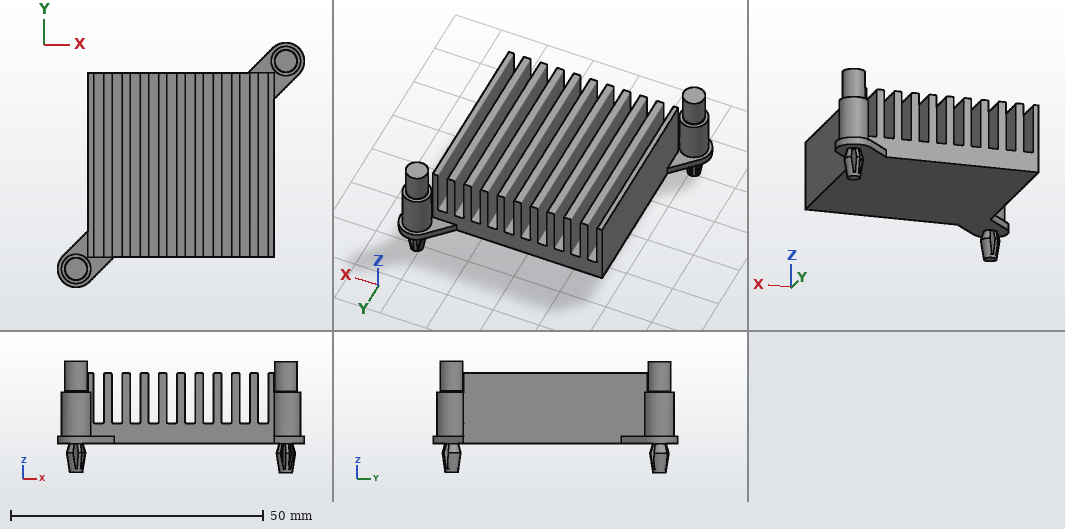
import cadquery as cq
import math

SINK_X = 36.9
SINK_Y = 36.5
SINK_HEIGHT = 14.0
BASE_HEIGHT = 4.0

CHANNEL_COUNT = 10
CHANNEL_PITCH = 3.6
CHANNEL_WIDTH = 2.0
FIN_TIP_RADIUS = 0.35
FLOOR_RADIUS = 0.3
ARC_MIDDLE = math.sqrt(0.5)

EAR_RADIUS = 3.65
EAR_THICKNESS = 1.45
EAR_ARM_LENGTH = 3 * EAR_RADIUS
EAR_OVERHANG = 6.0
PIN_X = SINK_X / 2 + EAR_OVERHANG - EAR_RADIUS
PIN_Y = SINK_Y / 2 + EAR_OVERHANG - EAR_RADIUS

SLEEVE_DIAMETER = 5.8
SLEEVE_TOP = 10.2

SPRING_OUTER_DIAMETER = 4.35

HEAD_DIAMETER = 4.5
HEAD_TOP = 16.25
HEAD_BOTTOM = 10.3
SHANK_DIAMETER = 2.7
PIN_RISE = 0.1
BARB_TOP = -PIN_RISE
BARB_DIAMETER = 3.75
BARB_RIDGE = -1.95
TIP_DIAMETER = 2.55
TIP_BOTTOM = -5.8

WEB_THICKNESS = 0.75
SLOT_TOP_REACH = 0.9
SLOT_RIDGE_REACH = 1.3
SLOT_BOTTOM = -5.1
SLOT_BOTTOM_REACH = 0.7

PINS = [(-1, PIN_RISE, 25), (1, 0, 11)]


def make_heatsink():
    block = cq.Workplane("XY").box(SINK_X, SINK_Y, SINK_HEIGHT, centered=(True, True, False))
    for index in range(CHANNEL_COUNT):
        block = block.cut(make_channel((index - (CHANNEL_COUNT - 1) / 2) * CHANNEL_PITCH))
    for sign in (-1, 1):
        block = block.union(make_ear(sign))
        hole = cq.Workplane("XY").center(sign * PIN_X, sign * PIN_Y).circle(SHANK_DIAMETER / 2)
        block = block.cut(hole.extrude(EAR_THICKNESS))
    return block


def make_channel(x):
    """Channel with a rounded floor, flared at the top to round the fin tips."""
    half = CHANNEL_WIDTH / 2
    mouth = half + FIN_TIP_RADIUS
    tip_z = SINK_HEIGHT - FIN_TIP_RADIUS
    floor_z = BASE_HEIGHT + FLOOR_RADIUS
    floor_half = half - FLOOR_RADIUS
    tip_bulge = FIN_TIP_RADIUS * (1 - ARC_MIDDLE)
    floor_bulge = FLOOR_RADIUS * (1 - ARC_MIDDLE)
    profile = (
        cq.Workplane("XZ", origin=(x, SINK_Y / 2, 0))
        .moveTo(-mouth, SINK_HEIGHT)
        .threePointArc((-half - tip_bulge, SINK_HEIGHT - tip_bulge), (-half, tip_z))
        .lineTo(-half, floor_z)
        .threePointArc((-half + floor_bulge, BASE_HEIGHT + floor_bulge), (-floor_half, BASE_HEIGHT))
        .lineTo(floor_half, BASE_HEIGHT)
        .threePointArc((half - floor_bulge, BASE_HEIGHT + floor_bulge), (half, floor_z))
        .lineTo(half, tip_z)
        .threePointArc((half + tip_bulge, SINK_HEIGHT - tip_bulge), (mouth, SINK_HEIGHT))
        .close()
    )
    return profile.extrude(SINK_Y)


def make_ear(sign):
    """Round-ended arm from the pin axis diagonally into the block."""
    arm = (
        cq.Workplane("XY")
        .rect(EAR_ARM_LENGTH, 2 * EAR_RADIUS)
        .extrude(EAR_THICKNESS)
        .translate((-EAR_ARM_LENGTH / 2, 0, 0))
    )
    end = cq.Workplane("XY").circle(EAR_RADIUS).extrude(EAR_THICKNESS)
    turn = 45 if sign > 0 else -135
    return arm.union(end).rotate((0, 0, 0), (0, 0, 1), turn).translate((sign * PIN_X, sign * PIN_Y, 0))


def make_tube(outer_diameter, inner_diameter, bottom, top):
    ring = cq.Workplane("XY", origin=(0, 0, bottom)).circle(outer_diameter / 2).circle(inner_diameter / 2)
    return ring.extrude(top - bottom)


def make_sleeve():
    return make_tube(SLEEVE_DIAMETER, SPRING_OUTER_DIAMETER, EAR_THICKNESS, SLEEVE_TOP)


def make_spring(rise):
    return make_tube(SPRING_OUTER_DIAMETER, SHANK_DIAMETER, EAR_THICKNESS, HEAD_BOTTOM + rise)


def make_slot(side):
    """Slot between the web and one leg, widest at the ridge; its reach is measured from the pin axis."""
    web_face = side * WEB_THICKNESS / 2
    return (
        cq.Workplane("XZ")
        .polyline([
            (web_face, BARB_TOP),
            (side * SLOT_TOP_REACH, BARB_TOP),
            (side * SLOT_RIDGE_REACH, BARB_RIDGE),
            (side * SLOT_BOTTOM_REACH, SLOT_BOTTOM),
            (web_face, SLOT_BOTTOM),
        ])
        .close()
        .extrude(BARB_DIAMETER, both=True)
    )


def make_pin(slot_turn):
    pin = (
        cq.Workplane("XZ")
        .polyline([
            (0, TIP_BOTTOM),
            (TIP_DIAMETER / 2, TIP_BOTTOM),
            (BARB_DIAMETER / 2, BARB_RIDGE),
            (SHANK_DIAMETER / 2, BARB_TOP),
            (SHANK_DIAMETER / 2, HEAD_BOTTOM),
            (HEAD_DIAMETER / 2, HEAD_BOTTOM),
            (HEAD_DIAMETER / 2, HEAD_TOP),
            (0, HEAD_TOP),
        ])
        .close()
        .revolve(360, (0, 0, 0), (0, 1, 0))
    )
    for side in (-1, 1):
        pin = pin.cut(make_slot(side))
    return pin.rotate((0, 0, 0), (0, 0, 1), slot_turn)


heatsink = make_heatsink()
sleeves = []
springs = []
pins = []
for sign, rise, slot_turn in PINS:
    place = (sign * PIN_X, sign * PIN_Y, 0)
    sleeves.append(make_sleeve().translate(place).val())
    springs.append(make_spring(rise).translate(place).val())
    pins.append(make_pin(slot_turn).translate((0, 0, rise)).translate(place).val())

result = cq.Compound.makeCompound([heatsink.val(), *sleeves, *springs, *pins])